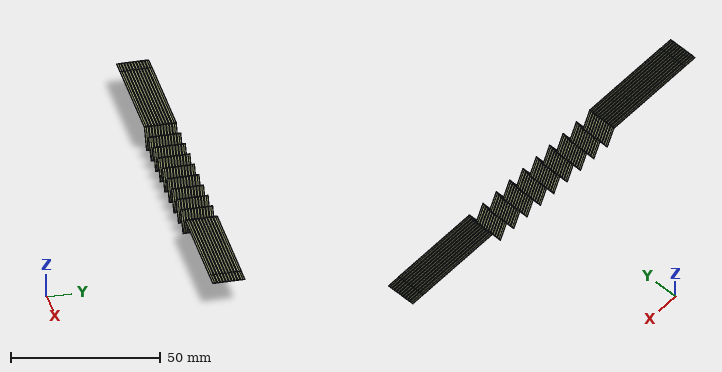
import cadquery as cq


length = 139.4
width = 11.0
height = 7.5

base_thickness = 0.1
conductor_thickness = 0.1
cover_thickness = 0.04
conductor_bottom = base_thickness
conductor_top = conductor_bottom + conductor_thickness
cable_thickness = conductor_top + cover_thickness

conductor_count = 10
conductor_width = 0.7
conductor_pitch = width / (conductor_count + 1)
exposed_length = 5.0

flat_length = 40.0
pleat_count = 9
slope_count = 2 * pleat_count
slope_run = (length - 2 * flat_length) / slope_count
pleat_depth = height - cable_thickness


def cable_path(end_inset):
    """X, Z points along the underside of the cable, each end shortened by end_inset."""
    end_x = length / 2 - end_inset
    first_fold_x = flat_length - length / 2
    folds = [
        (first_fold_x + i * slope_run, -pleat_depth if i % 2 else 0)
        for i in range(slope_count + 1)
    ]
    return [(-end_x, 0)] + folds + [(end_x, 0)]


def pleated_strip(bottom, top, strip_width, y_center=0, end_inset=0):
    """Strip filling the heights bottom to top above the underside path."""
    path = cable_path(end_inset)
    lower_edge = [(x, z + bottom) for x, z in path]
    upper_edge = [(x, z + top) for x, z in path]
    return (
        cq.Workplane("XZ", origin=(0, y_center, 0))
        .polyline(lower_edge + upper_edge[::-1])
        .close()
        .extrude(strip_width / 2, both=True)
    )


cable = pleated_strip(0, base_thickness, width)

for i in range(conductor_count):
    conductor_y = (i - (conductor_count - 1) / 2) * conductor_pitch
    conductor = pleated_strip(conductor_bottom, conductor_top, conductor_width, conductor_y)
    cable = cable.union(conductor)

cover = pleated_strip(conductor_top, cable_thickness, width, end_inset=exposed_length)
result = cable.union(cover)